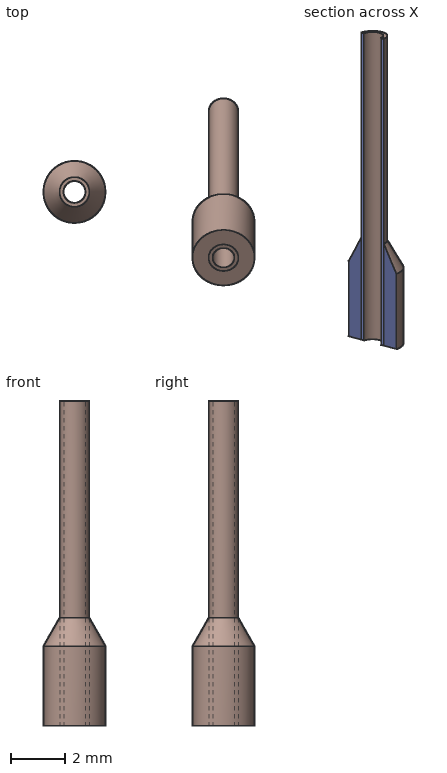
import cadquery as cq

total_length = 12.0
tube_outer_diameter = 1.1
tube_bore_diameter = 0.8

collar_diameter = 2.3
bare_tube_length = 8.0
collar_taper_length = 1.05
collar_length = total_length - bare_tube_length
collar_straight_length = collar_length - collar_taper_length


def make_tube():
    """Straight tube, open at both ends, running the full length of the ferrule."""
    return (
        cq.Workplane("XY")
        .circle(tube_outer_diameter / 2)
        .circle(tube_bore_diameter / 2)
        .extrude(total_length)
    )


def make_collar():
    """Cylindrical sleeve that tapers down to the tube and fits closely around it."""
    inner_radius = tube_outer_diameter / 2
    outer_radius = collar_diameter / 2
    half_section = (
        cq.Workplane("XZ")
        .moveTo(inner_radius, 0)
        .lineTo(outer_radius, 0)
        .lineTo(outer_radius, collar_straight_length)
        .lineTo(inner_radius, collar_length)
        .close()
    )
    return half_section.revolve(360, (0, 0, 0), (0, 1, 0))


tube = make_tube()
collar = make_collar()

result = cq.Compound.makeCompound([tube.val(), collar.val()])